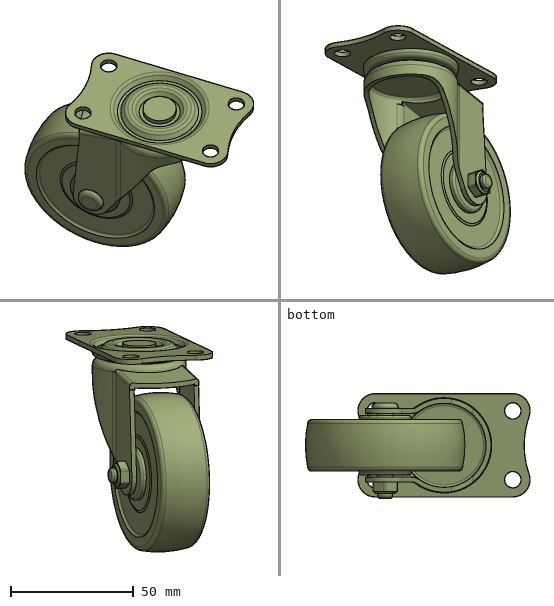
import cadquery as cq
import math


PLATE_THICKNESS = 2.0
PLATE_HOLE_X = 28.0
PLATE_HOLE_Y = 14.0
PLATE_HOLE_RADIUS = 3.3
PLATE_CORNER_RADIUS = 7.0
PLATE_WAIST_X = 32.7

RACE_TOP_RADIUS = 19.4
RACE_BASE_RADIUS = 19.0
RACE_BOTTOM_Z = -5.2
RACE_CORNER_RADIUS = 1.8
DISH_RIM_RADIUS = 20.1
DISH_ROLL_RADIUS = 2.0
DISH_WALL_SLOPE = 45.0
CHANNEL_DEPTH = 2.1
RIDGE_OUTER_RADIUS = 12.9
RIDGE_INNER_RADIUS = 11.2
HUB_FLOOR_DEPTH = 2.0
PIN_RADIUS = 6.8
PIN_TOP_DEPTH = 0.1
BEARING_OUTER_RADIUS = 15.6
BEARING_INNER_RADIUS = 10.1
BEARING_TAPER = 0.2

SHEET_THICKNESS = 2.0
FORK_TOP_Z = -6.0
CROWN_RADIUS = 19.1
CROWN_FILLET = 3.0
SKIRT_BOTTOM_Z = -13.3
CHEEK_OUTER_Y = 15.0
CHEEK_END_RADIUS = 8.0
CHEEK_END_DROP = 0.5
CHEEK_TOP_X = -29.1
CHEEK_BEND_RADIUS = 1.5
INNER_BEND_RADIUS = 0.2
CROWN_BEND_RADIUS = 4.0
ROOF_SLOPE = 9.5
ROOF_FRONT_X = -12.0
ROOF_FRONT_Z = -7.8
LIP_X = -32.2
LIP_BOTTOM_Z = -13.5
LIP_CORNER_X = -29.3
SKIRT_BLEND_RADIUS = 10.1
FRONT_EDGE_LEAN = 29.6
FORK_BASE_Z = -73.2
FORK_REAR_LENGTH = 36.6

WHEEL_RADIUS = 32.5
AXLE_X = -24.0
OVERALL_HEIGHT = 81.9
AXLE_Z = WHEEL_RADIUS - OVERALL_HEIGHT
TREAD_EDGE_RADIUS = 31.6
TREAD_EDGE_Y = 8.9
RIM_HALF_WIDTH = 10.5
TREAD_SHOULDER_RADIUS = 1.8
RIM_FACE_RADIUS = 29.7
WEB_OUTER_RADIUS = 25.9
WEB_INNER_RADIUS = 15.9
WEB_RECESS = 1.1
WEB_CENTRE_RADIUS = 15.0
WEB_CENTRE_RISE = 0.4
HUB_RADIUS = 10.7
HUB_HALF_WIDTH = 12.1
HUB_FILLET = 1.0

SHANK_RADIUS = 3.3
HEAD_RADIUS = 5.4
HEAD_THICKNESS = 2.3
HEAD_FILLET = 2.0
THREAD_RADIUS = 3.0
THREAD_END_Y = 21.6
THREAD_FILLET = 0.9
NUT_ACROSS_FLATS = 10.0
NUT_HEX_HEIGHT = 3.75
NUT_EDGE_ROUNDING = 0.8
COLLAR_HEIGHT = 0.8
COLLAR_BASE_RADIUS = 4.8
COLLAR_TOP_RADIUS = 3.8


def ring_about_axle(profile):
    """Revolve a closed (radius, y) sketch about the axle line."""
    turned = profile.close().revolve(360, (0, 0, 0), (0, 1, 0))
    return turned.translate((AXLE_X, 0, AXLE_Z))


def axle_cylinder(radius, y_start, y_end):
    """Cylinder on the axle line from y_start to y_end."""
    start = cq.Vector(AXLE_X, y_start, AXLE_Z)
    return cq.Workplane(cq.Solid.makeCylinder(radius, y_end - y_start, start, cq.Vector(0, 1, 0)))


def plate_blank():
    """Flat plate with rounded corners and concave ends that run tangent into them."""
    waist_offset = PLATE_WAIST_X - PLATE_HOLE_X
    end_radius = (waist_offset**2 + PLATE_HOLE_Y**2 - PLATE_CORNER_RADIUS**2) / (
        2 * (PLATE_CORNER_RADIUS - waist_offset)
    )
    end_angle = math.asin(PLATE_HOLE_Y / (end_radius + PLATE_CORNER_RADIUS))
    half_width = PLATE_HOLE_Y + PLATE_CORNER_RADIUS

    def corner_point(angle, x_sign, y_sign):
        x = PLATE_HOLE_X + PLATE_CORNER_RADIUS * math.cos(angle)
        y = PLATE_HOLE_Y + PLATE_CORNER_RADIUS * math.sin(angle)
        return (x_sign * x, y_sign * y)

    mid_angle = (math.pi / 2 - end_angle) / 2
    outline = (
        cq.Workplane("XY", origin=(0, 0, -PLATE_THICKNESS))
        .moveTo(-PLATE_HOLE_X, half_width)
        .lineTo(PLATE_HOLE_X, half_width)
        .threePointArc(corner_point(mid_angle, 1, 1), corner_point(-end_angle, 1, 1))
        .threePointArc((PLATE_WAIST_X, 0), corner_point(-end_angle, 1, -1))
        .threePointArc(corner_point(mid_angle, 1, -1), (PLATE_HOLE_X, -half_width))
        .lineTo(-PLATE_HOLE_X, -half_width)
        .threePointArc(corner_point(mid_angle, -1, -1), corner_point(-end_angle, -1, -1))
        .threePointArc((-PLATE_WAIST_X, 0), corner_point(-end_angle, -1, 1))
        .threePointArc(corner_point(mid_angle, -1, 1), (-PLATE_HOLE_X, half_width))
        .close()
    )
    return outline.extrude(PLATE_THICKNESS)


def swivel_race():
    """Round boss below the plate, with the bearing ring that runs on the fork."""
    base = cq.Vector(0, 0, RACE_BOTTOM_Z)
    boss_height = -PLATE_THICKNESS - RACE_BOTTOM_Z
    boss = cq.Workplane(cq.Solid.makeCone(RACE_BASE_RADIUS, RACE_TOP_RADIUS, boss_height, base))
    boss = boss.faces("<Z").edges().fillet(RACE_CORNER_RADIUS)
    bearing = (
        cq.Workplane("XZ")
        .moveTo(BEARING_INNER_RADIUS, RACE_BOTTOM_Z)
        .lineTo(BEARING_OUTER_RADIUS, RACE_BOTTOM_Z)
        .lineTo(BEARING_OUTER_RADIUS - BEARING_TAPER, FORK_TOP_Z)
        .lineTo(BEARING_INNER_RADIUS, FORK_TOP_Z)
        .close()
        .revolve(360, (0, 0, 0), (0, 1, 0))
    )
    underside = (
        cq.Workplane("XY", origin=(0, 0, RACE_BOTTOM_Z))
        .circle(BEARING_INNER_RADIUS)
        .extrude(-HUB_FLOOR_DEPTH - PLATE_THICKNESS - RACE_BOTTOM_Z)
    )
    return boss.union(bearing).cut(underside)


def groove_wall(rim_radius, depth, outward):
    """Foot, top of slope, roll middle and rim of a sloping wall that rolls over level at rim_radius.

    outward is 1 for a wall that rises away from the swivel axis and -1 for one that rises towards it.
    """
    slope = math.radians(DISH_WALL_SLOPE)

    def roll_point(angle):
        x = rim_radius - outward * DISH_ROLL_RADIUS * math.sin(angle)
        return (x, -DISH_ROLL_RADIUS * (1 - math.cos(angle)))

    slope_top = roll_point(slope)
    foot_x = slope_top[0] - outward * (depth + slope_top[1]) / math.tan(slope)
    return (foot_x, -depth), slope_top, roll_point(slope / 2), (rim_radius, 0)


def dish_channel():
    """Ring channel in the plate with a rolled rim on both sides."""
    foot, slope_top, roll_middle, rim = groove_wall(DISH_RIM_RADIUS, CHANNEL_DEPTH, 1)
    ridge_foot, ridge_slope_top, ridge_roll, ridge_rim = groove_wall(
        RIDGE_OUTER_RADIUS, CHANNEL_DEPTH, -1
    )
    return (
        cq.Workplane("XZ")
        .moveTo(*ridge_foot)
        .lineTo(*foot)
        .lineTo(*slope_top)
        .threePointArc(roll_middle, rim)
        .lineTo(*ridge_rim)
        .threePointArc(ridge_roll, ridge_slope_top)
        .close()
        .revolve(360, (0, 0, 0), (0, 1, 0))
    )


def hub_recess():
    """Ring recess between the centre pin and the rolled inner edge of the ridge."""
    foot, slope_top, roll_middle, rim = groove_wall(RIDGE_INNER_RADIUS, HUB_FLOOR_DEPTH, 1)
    return (
        cq.Workplane("XZ")
        .moveTo(PIN_RADIUS, -HUB_FLOOR_DEPTH)
        .lineTo(*foot)
        .lineTo(*slope_top)
        .threePointArc(roll_middle, rim)
        .lineTo(PIN_RADIUS, 0)
        .close()
        .revolve(360, (0, 0, 0), (0, 1, 0))
    )


def make_plate():
    holes = (
        cq.Workplane("XY")
        .rect(2 * PLATE_HOLE_X, 2 * PLATE_HOLE_Y, forConstruction=True)
        .vertices()
        .circle(PLATE_HOLE_RADIUS)
        .extrude(-PLATE_THICKNESS)
    )
    pin_trim = cq.Workplane("XY").circle(PIN_RADIUS).extrude(-PIN_TOP_DEPTH)
    plate_body = plate_blank().union(swivel_race())
    return plate_body.cut(dish_channel()).cut(hub_recess()).cut(pin_trim).cut(holes)


def crown_bend(radius, cheek_y, bend_radius):
    """Upright filler that blends a cheek at cheek_y into a round crown through a hollow bend."""
    centre_y = cheek_y + bend_radius
    centre_x = -math.sqrt((radius + bend_radius) ** 2 - centre_y**2)
    crown_share = radius / (radius + bend_radius)
    crown_point = (centre_x * crown_share, centre_y * crown_share)
    return (
        cq.Workplane("XY")
        .moveTo(centre_x, cheek_y)
        .radiusArc(crown_point, -bend_radius)
        .lineTo(crown_point[0], cheek_y - bend_radius)
        .lineTo(centre_x, cheek_y - bend_radius)
        .close()
        .extrude(FORK_BASE_Z)
    )


def fork_form(inset):
    """Solid form of the fork, shrunk by inset: a round crown and a channel with a sloping roof."""
    radius = CROWN_RADIUS - inset
    crown = (
        cq.Workplane("XY", origin=(0, 0, FORK_BASE_Z))
        .circle(radius)
        .extrude(FORK_TOP_Z - inset - FORK_BASE_Z)
        .faces(">Z")
        .edges()
        .fillet(CROWN_FILLET - inset)
    )
    height = ROOF_FRONT_Z - FORK_BASE_Z
    channel = (
        cq.Workplane("XY")
        .box(FORK_REAR_LENGTH, 2 * (CHEEK_OUTER_Y - inset), height, centered=(False, True, False))
        .edges("|X and >Z")
        .fillet(max(CHEEK_BEND_RADIUS - inset, INNER_BEND_RADIUS))
        .translate((-FORK_REAR_LENGTH, 0, -height - inset))
        .rotate((0, 0, 0), (0, 1, 0), -ROOF_SLOPE)
        .translate((ROOF_FRONT_X, 0, ROOF_FRONT_Z))
    )
    bend = crown_bend(radius, CHEEK_OUTER_Y - inset, CROWN_BEND_RADIUS + inset)
    bend = bend.translate((0, 0, FORK_TOP_Z - CROWN_FILLET - inset))
    return crown.union(channel).union(bend).union(bend.mirror("XZ"))


def side_outline():
    """Fork outline seen along the axle: leaning cheeks round the axle, running up into the skirt."""
    end_z = AXLE_Z - CHEEK_END_DROP
    rear_dx = CHEEK_TOP_X - AXLE_X
    rear_dz = LIP_BOTTOM_Z - end_z
    rear_turn = math.acos(CHEEK_END_RADIUS / math.hypot(rear_dx, rear_dz))
    rear_angle = math.atan2(rear_dz, rear_dx) + rear_turn
    front_angle = math.radians(-FRONT_EDGE_LEAN)

    def end_point(angle):
        x = AXLE_X + CHEEK_END_RADIUS * math.cos(angle)
        z = end_z + CHEEK_END_RADIUS * math.sin(angle)
        return (x, z)

    front_x, front_z = end_point(front_angle)
    corner_x = front_x + (SKIRT_BOTTOM_Z - front_z) * math.tan(math.radians(FRONT_EDGE_LEAN))
    outline = (
        cq.Workplane("XZ", origin=(0, CROWN_RADIUS, 0))
        .moveTo(corner_x, SKIRT_BOTTOM_Z)
        .lineTo(CROWN_RADIUS, SKIRT_BOTTOM_Z)
        .lineTo(CROWN_RADIUS, 0)
        .lineTo(LIP_X, 0)
        .lineTo(LIP_X, LIP_BOTTOM_Z)
        .lineTo(CHEEK_TOP_X, LIP_BOTTOM_Z)
        .lineTo(*end_point(rear_angle))
        .threePointArc(end_point(-math.pi / 2), (front_x, front_z))
        .close()
        .extrude(2 * CROWN_RADIUS)
    )
    blend_edge = cq.selectors.NearestToPointSelector((corner_x, 0, SKIRT_BOTTOM_Z))
    return outline.edges(blend_edge).fillet(SKIRT_BLEND_RADIUS)


def roof_end_trim():
    """Space behind the roof, whose end is a bowed lip."""
    return (
        cq.Workplane("XY", origin=(0, 0, LIP_BOTTOM_Z))
        .moveTo(LIP_CORNER_X, CHEEK_OUTER_Y)
        .threePointArc((LIP_X, 0), (LIP_CORNER_X, -CHEEK_OUTER_Y))
        .lineTo(-FORK_REAR_LENGTH, -CHEEK_OUTER_Y)
        .lineTo(-FORK_REAR_LENGTH, CHEEK_OUTER_Y)
        .close()
        .extrude(-LIP_BOTTOM_Z)
    )


def make_fork():
    shell = fork_form(0).cut(fork_form(SHEET_THICKNESS))
    axle_hole = axle_cylinder(SHANK_RADIUS, -CHEEK_OUTER_Y, CHEEK_OUTER_Y)
    return shell.intersect(side_outline()).cut(roof_end_trim()).cut(axle_hole)


def wheel_blank():
    """Tread with a crowned running face and rounded shoulders."""
    profile = (
        cq.Workplane("XY")
        .moveTo(SHANK_RADIUS, -RIM_HALF_WIDTH)
        .lineTo(RIM_FACE_RADIUS, -RIM_HALF_WIDTH)
        .radiusArc((TREAD_EDGE_RADIUS, -TREAD_EDGE_Y), -TREAD_SHOULDER_RADIUS)
        .threePointArc((WHEEL_RADIUS, 0), (TREAD_EDGE_RADIUS, TREAD_EDGE_Y))
        .radiusArc((RIM_FACE_RADIUS, RIM_HALF_WIDTH), -TREAD_SHOULDER_RADIUS)
        .lineTo(SHANK_RADIUS, RIM_HALF_WIDTH)
    )
    return ring_about_axle(profile)


def web_recess():
    """Dished recess in the +Y face: a rounded outer wall, a flat web and a low raised centre."""
    web_y = RIM_HALF_WIDTH - WEB_RECESS
    centre_y = web_y + WEB_CENTRE_RISE
    profile = (
        cq.Workplane("XY")
        .moveTo(SHANK_RADIUS, RIM_HALF_WIDTH)
        .lineTo(SHANK_RADIUS, centre_y)
        .lineTo(WEB_CENTRE_RADIUS, centre_y)
        .lineTo(WEB_INNER_RADIUS, web_y)
        .lineTo(WEB_OUTER_RADIUS - WEB_RECESS, web_y)
        .radiusArc((WEB_OUTER_RADIUS, RIM_HALF_WIDTH), -WEB_RECESS)
    )
    return ring_about_axle(profile)


def wheel_hub():
    """Round-edged hub that stands proud of both faces."""
    hub = axle_cylinder(HUB_RADIUS, -HUB_HALF_WIDTH, HUB_HALF_WIDTH)
    return hub.edges("%CIRCLE").fillet(HUB_FILLET)


def make_wheel():
    recess = web_recess()
    bore = axle_cylinder(SHANK_RADIUS, -HUB_HALF_WIDTH, HUB_HALF_WIDTH)
    return wheel_blank().cut(recess).cut(recess.mirror("XZ")).union(wheel_hub()).cut(bore)


def make_bolt():
    shank = axle_cylinder(SHANK_RADIUS, -CHEEK_OUTER_Y, CHEEK_OUTER_Y)
    head = (
        axle_cylinder(HEAD_RADIUS, -CHEEK_OUTER_Y - HEAD_THICKNESS, -CHEEK_OUTER_Y)
        .faces("<Y")
        .edges()
        .fillet(HEAD_FILLET)
    )
    thread = (
        axle_cylinder(THREAD_RADIUS, CHEEK_OUTER_Y, THREAD_END_Y)
        .faces(">Y")
        .edges()
        .fillet(THREAD_FILLET)
    )
    return shank.union(head).union(thread)


def make_nut():
    across_corners = NUT_ACROSS_FLATS / math.cos(math.pi / 6)
    hex_body = (
        cq.Workplane("XZ")
        .polygon(6, across_corners)
        .extrude(-NUT_HEX_HEIGHT)
        .edges("|Y")
        .fillet(NUT_EDGE_ROUNDING)
        .rotate((0, 0, 0), (0, 1, 0), 30)
        .translate((AXLE_X, CHEEK_OUTER_Y, AXLE_Z))
    )
    collar_y = CHEEK_OUTER_Y + NUT_HEX_HEIGHT
    collar = ring_about_axle(
        cq.Workplane("XY")
        .moveTo(0, CHEEK_OUTER_Y)
        .lineTo(COLLAR_BASE_RADIUS, CHEEK_OUTER_Y)
        .lineTo(COLLAR_BASE_RADIUS, collar_y)
        .lineTo(COLLAR_TOP_RADIUS, collar_y + COLLAR_HEIGHT)
        .lineTo(0, collar_y + COLLAR_HEIGHT)
    )
    bore = axle_cylinder(THREAD_RADIUS, CHEEK_OUTER_Y, THREAD_END_Y)
    return hex_body.union(collar).cut(bore)


plate = make_plate()
fork = make_fork()
wheel = make_wheel()
bolt = make_bolt()
nut = make_nut()

result = cq.Compound.makeCompound([plate.val(), fork.val(), wheel.val(), bolt.val(), nut.val()])